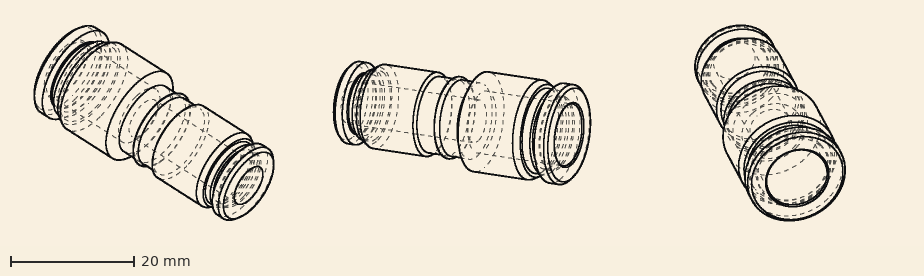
import cadquery as cq

length = 39.7

wide_flange_radius = 8.2
wide_flange_width = 2.22
wide_flange_chamfer = 0.5
wide_neck_radius = 6.05
wide_collar_radius = 7.0
wide_collar_start = 3.6
wide_body_radius = wide_flange_radius
wide_body_start = 5.05
wide_body_end = 16.05
wide_nose_length = 1.1
wide_nose_drop = 0.6
wide_shoulder_length = 1.15

waist_radius = 6.27
seal_center = 20.85
seal_section_radius = 0.48

narrow_body_radius = 6.9
narrow_body_start = 24.5
narrow_body_end = 35.45
narrow_shoulder_length = 0.4
narrow_nose_length = 0.95
narrow_nose_drop = 0.6
narrow_collar_radius = 5.8
narrow_collar_end = 36.5
narrow_neck_radius = 4.95
narrow_flange_radius = 6.75
narrow_flange_width = 1.9
narrow_flange_chamfer = 0.6

neck_flare_length = 0.25
neck_flare_rise = 0.1

socket_radius = 5.1
socket_depth = 15.88
socket_chamfer = 0.25
passage_radius = 3.5
taper_length = 0.95


def turn(half_section):
    """Revolve a closed (X, radius) outline about the X axis."""
    return half_section.revolve(360, (0, 0, 0), (1, 0, 0))


def outer_body():
    narrow_flange_start = length - narrow_flange_width
    half_section = (
        cq.Workplane("XY")
        .moveTo(0, 0)
        .lineTo(0, wide_flange_radius - wide_flange_chamfer)
        .lineTo(wide_flange_chamfer, wide_flange_radius)
        .lineTo(wide_flange_width, wide_flange_radius)
        .lineTo(wide_flange_width, wide_neck_radius + neck_flare_rise)
        .lineTo(wide_flange_width + neck_flare_length, wide_neck_radius)
        .lineTo(wide_collar_start, wide_neck_radius)
        .lineTo(wide_collar_start, wide_collar_radius)
        .lineTo(wide_body_start, wide_collar_radius)
        .lineTo(wide_body_start, wide_body_radius - wide_nose_drop)
        .lineTo(wide_body_start + wide_nose_length, wide_body_radius)
        .lineTo(wide_body_end, wide_body_radius)
        .lineTo(wide_body_end + wide_shoulder_length, waist_radius)
        .lineTo(narrow_body_start, waist_radius)
        .lineTo(narrow_body_start + narrow_shoulder_length, narrow_body_radius)
        .lineTo(narrow_body_end - narrow_nose_length, narrow_body_radius)
        .lineTo(narrow_body_end, narrow_body_radius - narrow_nose_drop)
        .lineTo(narrow_body_end, narrow_collar_radius)
        .lineTo(narrow_collar_end, narrow_collar_radius)
        .lineTo(narrow_collar_end, narrow_neck_radius)
        .lineTo(narrow_flange_start - neck_flare_length, narrow_neck_radius)
        .lineTo(narrow_flange_start, narrow_neck_radius + neck_flare_rise)
        .lineTo(narrow_flange_start, narrow_flange_radius)
        .lineTo(length - narrow_flange_chamfer, narrow_flange_radius)
        .lineTo(length, narrow_flange_radius - narrow_flange_chamfer)
        .lineTo(length, 0)
        .close()
    )
    return turn(half_section)


def sealing_ring():
    axis = cq.Vector(1, 0, 0)
    center = cq.Vector(seal_center, 0, 0)
    return cq.Workplane(cq.Solid.makeTorus(waist_radius, seal_section_radius, center, axis))


def bore():
    half_section = (
        cq.Workplane("XY")
        .moveTo(0, 0)
        .lineTo(0, socket_radius + socket_chamfer)
        .lineTo(socket_chamfer, socket_radius)
        .lineTo(socket_depth, socket_radius)
        .lineTo(socket_depth + taper_length, passage_radius)
        .lineTo(length, passage_radius)
        .lineTo(length, 0)
        .close()
    )
    return turn(half_section)


result = outer_body().union(sealing_ring()).cut(bore())